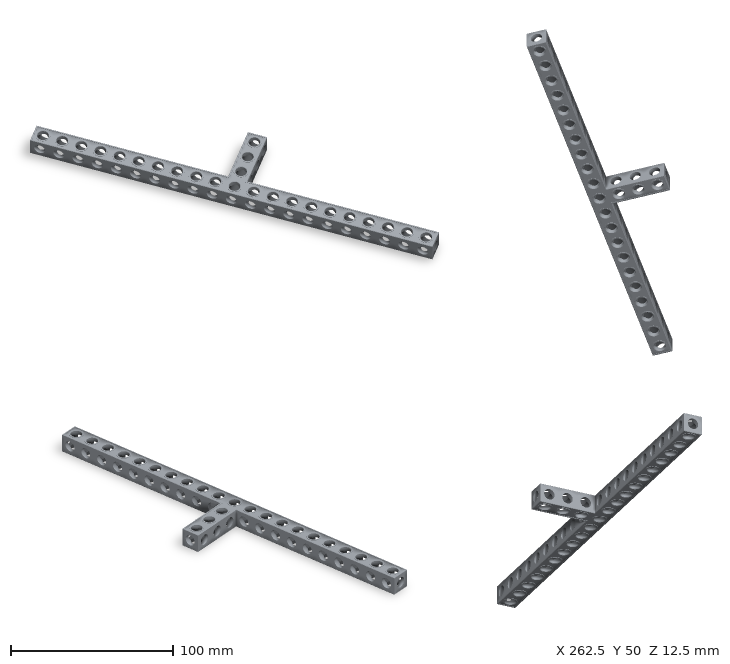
import cadquery as cq

length = 262.5
bar_cells = 21
arm_cells = 3
cell = length / bar_cells
half_cell = cell / 2
stem_cell = bar_cells // 2
total_depth = (1 + arm_cells) * cell

hole_diameter = 7.0
ring_diameter = 9.2
rim_width = 1.0
recess_depth = 0.3
edge_chamfer = 0.3

bar_x = [(i + 0.5) * cell for i in range(bar_cells)]
row_y = [(i + 0.5) * cell for i in range(1 + arm_cells)]
bar_centers = [(x, half_cell) for x in bar_x]
arm_centers = [(bar_x[stem_cell], y) for y in row_y[1:]]
cell_centers = bar_centers + arm_centers


def tee(inset, bottom, height):
    """T-shaped slab whose outline is moved inward by the inset."""
    width = cell - 2 * inset
    bar = cq.Workplane("XY").box(length - 2 * inset, width, height, centered=False)
    arm = cq.Workplane("XY").box(width, total_depth - 2 * inset, height, centered=False)
    arm = arm.translate((stem_cell * cell, 0, 0))
    return bar.union(arm).translate((inset, inset, bottom))


def cylinders(diameter, bottom, height):
    """Vertical cylinders, one in each cell."""
    base = cq.Workplane("XY").workplane(offset=bottom)
    return base.pushPoints(cell_centers).circle(diameter / 2).extrude(height)


def recess(bottom):
    """Recess volume inside the rim, with the rings around the holes left standing."""
    return tee(rim_width, bottom, recess_depth).cut(cylinders(ring_diameter, bottom, recess_depth))


def countersinks():
    """Small cones that chamfer both mouths of every vertical hole."""
    radius = hole_diameter / 2
    mouth_radius = radius + edge_chamfer
    top_start = cell - edge_chamfer
    cones = cq.Workplane("XY")
    for x, y in cell_centers:
        lower = cq.Solid.makeCone(mouth_radius, radius, edge_chamfer, pnt=cq.Vector(x, y, 0))
        upper = cq.Solid.makeCone(radius, mouth_radius, edge_chamfer, pnt=cq.Vector(x, y, top_start))
        cones = cones.add(lower).add(upper)
    return cones.combine()


body = tee(0, 0, cell).faces("<Z or >Z").edges().chamfer(edge_chamfer)
body = body.cut(recess(0)).cut(recess(cell - recess_depth))

body = body.cut(cylinders(hole_diameter, 0, cell)).cut(countersinks())

y_holes = cq.Workplane("XZ").pushPoints([(x, half_cell) for x in bar_x]).circle(hole_diameter / 2)
body = body.cut(y_holes.extrude(-total_depth))

x_holes = cq.Workplane("YZ").pushPoints([(y, half_cell) for y in row_y]).circle(hole_diameter / 2)
body = body.cut(x_holes.extrude(length))

result = body.solids()